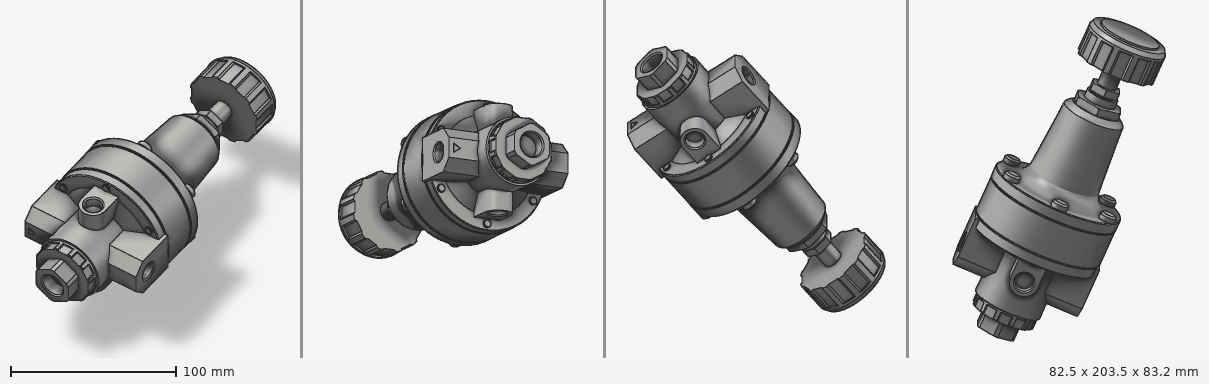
import cadquery as cq
import math


PLUG_HEX_END = 10.8
PLUG_CAP_END = 18.7
BLOCK_FRONT = 29.7
PORT_Y = 43.3
NECK_END = 51.9
RING_FRONT = 57.4
RING_END = 63.7
FLANGE_FRONT = 88.3
FLANGE_END = 95.2
BELL_START = 103.8
BELL_SHOULDER = 148.0
BELL_LIP = 150.5
BELL_END = 151.8
LOCK_NUT_END = 157.0
COLLAR_END = 161.8
STEM_NUT_START = 162.8
STEM_NUT_END = 167.7
KNOB_START = 181.1
KNOB_RIM_END = 202.3
KNOB_END = 203.5

PLUG_HEX_FLATS = 23.8
PLUG_HEX_ROUND_DIA = 26.0
PLUG_BORE_DIA = 14.9
PLUG_BORE_MOUTH_DIA = 16.7
PLUG_BORE_DEPTH = 8.8
PLUG_CAP_DIA = 40.0
PLUG_CAP_ROOT_DIA = 38.0
PLUG_CAP_CHAMFER = 0.6
PLUG_NOTCH_LENGTH = 6.3
PLUG_NOTCH_WIDTH = 8.0
PLUG_NOTCH_FLOOR = 6.7

NECK_FRONT_DIA = 42.7
NECK_END_DIA = 42.3
UNDERSIDE_CONE_DIA = 62.7
RING_DIA = 81.5
RING_CHAMFER = 0.6
BODY_DIA = 82.0
GROOVE_DIA = 80.8
GROOVE_WIDTH = 1.0
FLANGE_DIA = 82.5
FLANGE_CHAMFER = 0.6

BLOCK_LENGTH = 81.8
BLOCK_HEIGHT = 27.3
BLOCK_CHAMFER = 7.3
BOSS_DIA = 17.7
BOSS_SPAN = 66.7
PORT_DIA = 11.4
PORT_MOUTH_DIA = 13.2
MAIN_PORT_DEPTH = 16.3
GAUGE_PORT_DEPTH = 7.0
MOUTH_DEPTH = 0.8
ARROW_TIP_X = -33.4
ARROW_LENGTH = 4.5
ARROW_WIDTH = 5.7
ARROW_HEIGHT = 0.5

BOLT_COUNT = 6
BOLT_CIRCLE_RADIUS = 36.5
BOLT_HEAD_DIA = 10.2
BOLT_HEAD_HEIGHT = 4.3
BOLT_HEAD_CHAMFER = 1.2
BOLT_TIP_DIA = 5.0
BOLT_TIP_LENGTH = 1.2
BOLT_TIP_CHAMFER = 0.5

FLARE_DIA = 68.4
BELL_BASE_DIA = 45.2
BELL_SHOULDER_DIA = 38.9
BELL_LIP_DIA = 33.5
BELL_TOP_DIA = 31.0
SHOULDER_MID_RADIUS = 18.3
SHOULDER_MID_Y = 149.5
VENT_DIA = 5.0
VENT_Y = 100.7
VENT_FLOOR_Z = 21.4

LOCK_NUT_CORNERS = 32.0
COLLAR_DIA = 20.0
COLLAR_NECK_DIA = 16.3
STEM_NUT_CORNERS = 20.0
NUT_CHAMFER = 0.8
STEM_DIA = 12.0
KNOB_DIA = 50.0
KNOB_EDGE = 3.0
KNOB_CROWN_DIA = 38.0
KNOB_NOTCH_LENGTH = 16.3
KNOB_NOTCH_WIDTH = 9.4
KNOB_NOTCH_FLOOR = 7.0
KNOB_NOTCH_DEPTH = 1.5
NOTCH_COUNT = 12
CUT_CLEARANCE = 2.0

HEX_CORNER_RATIO = 2 / math.sqrt(3)


def plane_at(y):
    """Workplane across the main axis; a negative extrusion runs toward +Y."""
    return cq.Workplane("XZ", origin=(0, y, 0))


def disc(diameter, y_start, y_end):
    return plane_at(y_start).circle(diameter / 2).extrude(y_start - y_end)


def hex_prism(corners, y_start, y_end):
    """Hexagonal prism with corners pointing to +Z and -Z."""
    prism = plane_at(y_start).polygon(6, corners).extrude(y_start - y_end)
    return prism.rotate((0, 0, 0), (0, 1, 0), 30)


def nut(corners, y_start, y_end):
    envelope = disc(corners, y_start, y_end).faces("<Y or >Y").chamfer(NUT_CHAMFER)
    return hex_prism(corners, y_start, y_end).intersect(envelope)


def around_axis(shape, count):
    """The shape repeated evenly around the main axis."""
    copies = shape
    for index in range(1, count):
        copies = copies.union(shape.rotate((0, 0, 0), (0, 1, 0), index * 360 / count))
    return copies


def grip_notches(outer_dia, root_dia, mouth_width, floor_width, y_start, length):
    """Notches with sloping sides around a rim, the first one facing +Z."""
    root = root_dia / 2
    rim = math.sqrt((outer_dia / 2) ** 2 - (mouth_width / 2) ** 2)
    slope = (mouth_width - floor_width) / 2 / (rim - root)
    outside = outer_dia / 2 + CUT_CLEARANCE
    outside_half = floor_width / 2 + slope * (outside - root)
    notch = (
        plane_at(y_start)
        .polyline([
            (-floor_width / 2, root),
            (floor_width / 2, root),
            (outside_half, outside),
            (-outside_half, outside),
        ])
        .close()
        .extrude(-length)
    )
    return around_axis(notch, NOTCH_COUNT)


def port_bore(plane, diameter, mouth_diameter, depth):
    """Blind bore with a conical mouth; the plane lies on the entry face, facing out."""
    mouth = plane.circle(mouth_diameter / 2).workplane(offset=-MOUTH_DEPTH).circle(diameter / 2).loft()
    return plane.circle(diameter / 2).extrude(-depth).union(mouth)


def turned_body():
    """Neck, underside cone, ring, main cylinder, flange and spring bell in one revolve."""
    return (
        cq.Workplane("XY")
        .moveTo(0, PLUG_CAP_END)
        .lineTo(NECK_FRONT_DIA / 2, PLUG_CAP_END)
        .lineTo(NECK_END_DIA / 2, NECK_END)
        .lineTo(UNDERSIDE_CONE_DIA / 2, RING_FRONT)
        .lineTo(RING_DIA / 2 - RING_CHAMFER, RING_FRONT)
        .lineTo(RING_DIA / 2, RING_FRONT + RING_CHAMFER)
        .lineTo(RING_DIA / 2, RING_END)
        .lineTo(GROOVE_DIA / 2, RING_END)
        .lineTo(GROOVE_DIA / 2, RING_END + GROOVE_WIDTH)
        .lineTo(BODY_DIA / 2, RING_END + GROOVE_WIDTH)
        .lineTo(BODY_DIA / 2, FLANGE_FRONT - GROOVE_WIDTH)
        .lineTo(GROOVE_DIA / 2, FLANGE_FRONT - GROOVE_WIDTH)
        .lineTo(GROOVE_DIA / 2, FLANGE_FRONT)
        .lineTo(FLANGE_DIA / 2, FLANGE_FRONT)
        .lineTo(FLANGE_DIA / 2, FLANGE_END - FLANGE_CHAMFER)
        .lineTo(FLANGE_DIA / 2 - FLANGE_CHAMFER, FLANGE_END)
        .lineTo(FLARE_DIA / 2, FLANGE_END)
        .tangentArcPoint((BELL_BASE_DIA / 2, BELL_START), relative=False)
        .lineTo(BELL_SHOULDER_DIA / 2, BELL_SHOULDER)
        .threePointArc((SHOULDER_MID_RADIUS, SHOULDER_MID_Y), (BELL_LIP_DIA / 2, BELL_LIP))
        .lineTo(BELL_TOP_DIA / 2, BELL_END)
        .lineTo(0, BELL_END)
        .close()
        .revolve(360, (0, 0, 0), (0, 1, 0))
    )


def vent_hole():
    depth = BODY_DIA / 2 - VENT_FLOOR_Z
    return cq.Workplane("XY", origin=(0, VENT_Y, VENT_FLOOR_Z)).circle(VENT_DIA / 2).extrude(depth)


def side_block():
    """Chamfered block along X that carries the inlet and the outlet."""
    depth = RING_END - BLOCK_FRONT
    block = (
        cq.Workplane("XY")
        .box(BLOCK_LENGTH, depth, BLOCK_HEIGHT)
        .translate((0, BLOCK_FRONT + depth / 2, 0))
    )
    return block.faces("<Y").edges("|X").chamfer(BLOCK_CHAMFER)


def flow_arrow():
    tail_x = ARROW_TIP_X - ARROW_LENGTH
    return (
        plane_at(BLOCK_FRONT)
        .polyline([(tail_x, -ARROW_WIDTH / 2), (ARROW_TIP_X, 0), (tail_x, ARROW_WIDTH / 2)])
        .close()
        .extrude(ARROW_HEIGHT)
    )


def gauge_bosses():
    """Round-nosed bosses reaching to +Z and -Z from the neck."""
    nose = cq.Workplane("XY").center(0, PORT_Y).circle(BOSS_DIA / 2).extrude(BOSS_SPAN / 2, both=True)
    length = RING_FRONT - PORT_Y
    web = (
        cq.Workplane("XY")
        .box(BOSS_DIA, length, BOSS_SPAN)
        .translate((0, PORT_Y + length / 2, 0))
    )
    return nose.union(web)


def ports():
    """Two bores in the ends of the block and two in the bosses."""
    bores = cq.Workplane("XY")
    faces = [
        ((1, 0, 0), BLOCK_LENGTH / 2, MAIN_PORT_DEPTH),
        ((-1, 0, 0), BLOCK_LENGTH / 2, MAIN_PORT_DEPTH),
        ((0, 0, 1), BOSS_SPAN / 2, GAUGE_PORT_DEPTH),
        ((0, 0, -1), BOSS_SPAN / 2, GAUGE_PORT_DEPTH),
    ]
    for normal, distance, depth in faces:
        origin = (normal[0] * distance, PORT_Y, normal[2] * distance)
        plane = cq.Workplane(cq.Plane(origin=origin, xDir=(0, 1, 0), normal=normal))
        bores = bores.add(port_bore(plane, PORT_DIA, PORT_MOUTH_DIA, depth))
    return bores.combine()


def bolts():
    head = (
        disc(BOLT_HEAD_DIA, FLANGE_END, FLANGE_END + BOLT_HEAD_HEIGHT)
        .faces(">Y")
        .chamfer(BOLT_HEAD_CHAMFER)
    )
    tip = disc(BOLT_TIP_DIA, RING_FRONT - BOLT_TIP_LENGTH, RING_FRONT).faces("<Y").chamfer(BOLT_TIP_CHAMFER)
    bolt = head.union(tip).translate((0, 0, BOLT_CIRCLE_RADIUS))
    return around_axis(bolt, BOLT_COUNT)


def plug():
    """Notched cap with a hexagon whose corners are rounded off, bored from the front."""
    cap = disc(PLUG_CAP_DIA, PLUG_HEX_END, PLUG_CAP_END).faces("<Y").chamfer(PLUG_CAP_CHAMFER)
    cap = cap.cut(grip_notches(
        PLUG_CAP_DIA, PLUG_CAP_ROOT_DIA, PLUG_NOTCH_WIDTH, PLUG_NOTCH_FLOOR, PLUG_HEX_END, PLUG_NOTCH_LENGTH
    ))
    hexagon = hex_prism(PLUG_HEX_FLATS * HEX_CORNER_RATIO, 0, PLUG_HEX_END)
    hexagon = hexagon.intersect(disc(PLUG_HEX_ROUND_DIA, 0, PLUG_HEX_END))
    bore = port_bore(plane_at(0), PLUG_BORE_DIA, PLUG_BORE_MOUTH_DIA, PLUG_BORE_DEPTH)
    return cap.union(hexagon).cut(bore)


def adjusting_stem():
    """Lock nut, collar, stem nut and the stem up to the knob."""
    return (
        nut(LOCK_NUT_CORNERS, BELL_END, LOCK_NUT_END)
        .union(disc(COLLAR_DIA, LOCK_NUT_END, COLLAR_END))
        .union(disc(COLLAR_NECK_DIA, COLLAR_END, STEM_NUT_START))
        .union(hex_prism(STEM_NUT_CORNERS, STEM_NUT_START, STEM_NUT_END))
        .union(disc(STEM_DIA, STEM_NUT_END, KNOB_START))
    )


def knob():
    rim = disc(KNOB_DIA, KNOB_START, KNOB_RIM_END).faces(">Y").edges().chamfer(KNOB_EDGE, KNOB_EDGE / 2)
    notches = grip_notches(
        KNOB_DIA,
        KNOB_DIA - 2 * KNOB_NOTCH_DEPTH,
        KNOB_NOTCH_WIDTH,
        KNOB_NOTCH_FLOOR,
        KNOB_START,
        KNOB_NOTCH_LENGTH,
    )
    return rim.cut(notches).union(disc(KNOB_CROWN_DIA, KNOB_RIM_END, KNOB_END))


result = (
    turned_body()
    .cut(vent_hole())
    .union(side_block())
    .union(gauge_bosses())
    .union(flow_arrow())
    .cut(ports())
    .union(bolts())
    .union(plug())
    .union(adjusting_stem())
    .union(knob())
)